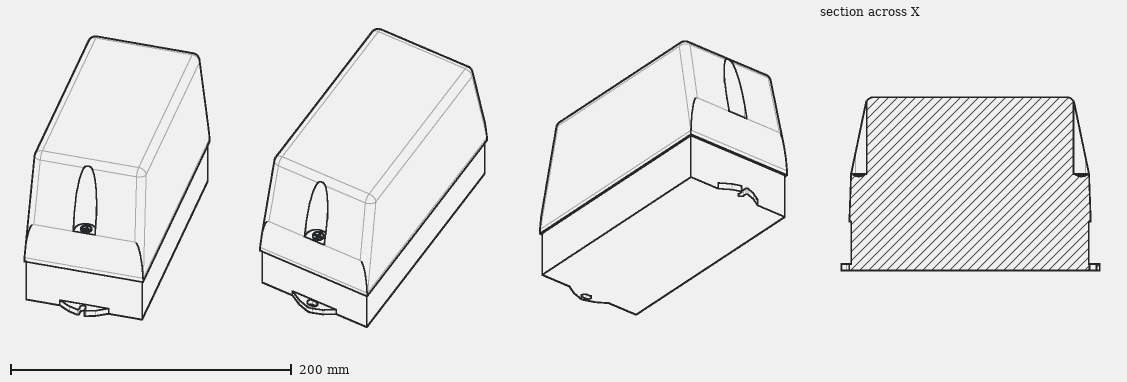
import cadquery as cq
total_height = 123.5
flange_width = 88.0
flange_length = 171.8
flange_bottom = 34.8
flange_top = 38.5

base_width = 86.0
base_length = 169.2

roof_width = 82.0
roof_length = 146.8
knee_length = 169.6
knee_height = 68.8
lid_edge_radius = 5.5

recess_radius = 8.1
recess_offset = 81.9
screw_offset = 79.3
screw_radius = 3.9
screw_head_sink = 0.5
screw_slot_depth = 1.1
screw_cross_depth = 0.7
screw_slot_width = 1.1
screw_cross_length = 5.0

tab_thickness = 4.8
tab_root_width = 36.1
tab_shoulder_width = 19.5
tab_shoulder = 89.6
tab_ridge = 93.0
tab_tip_radius = 7.7
tab_hole_offset = 87.5
tab_hole_width = 4.8
tab_hole_length = 7.7
tab_slot_width = 4.0
tab_slot_end = 86.1
tab_slot_corner_radius = 1.0


def block(width, length, bottom, top):
    """Centred box between two heights."""
    return cq.Workplane("XY").workplane(offset=bottom).rect(width, length).extrude(top - bottom)


def trapezoid_prism(plane, lower_span, upper_span, bottom, top, depth):
    """Symmetric prism with a trapezoid section in the given vertical plane."""
    section = [
        (-lower_span / 2, bottom),
        (lower_span / 2, bottom),
        (upper_span / 2, top),
        (-upper_span / 2, top),
    ]
    return cq.Workplane(plane).polyline(section).close().extrude(depth / 2, both=True)


def make_lid():
    """Rounded, tapered lid whose ends are trimmed by the steeper faces below the knee."""
    end_slope = (knee_length - roof_length) / (total_height - knee_height)
    full_length = roof_length + end_slope * (total_height - flange_top)
    side_taper = trapezoid_prism("XZ", flange_width, roof_width, flange_top, total_height, full_length)
    end_taper = trapezoid_prism("YZ", full_length, roof_length, flange_top, total_height, flange_width)
    lid = side_taper.intersect(end_taper)
    lid = lid.edges("not(<Z)").fillet(lid_edge_radius)

    trim_slope = (flange_length - knee_length) / (knee_height - flange_top)
    trim_length = flange_length - trim_slope * (total_height - flange_top)
    trim = trapezoid_prism("YZ", flange_length, trim_length, flange_top, total_height, flange_width)
    return lid.intersect(trim)


def make_recess(end):
    """Vertical U-shaped pocket running out through the end face."""
    pocket = cq.Workplane("XY").workplane(offset=knee_height)
    depth = total_height - knee_height
    round_part = pocket.center(0, end * recess_offset).circle(recess_radius).extrude(depth)
    open_part = (
        pocket.center(0, end * (recess_offset + recess_radius))
        .rect(2 * recess_radius, 2 * recess_radius).extrude(depth)
    )
    return round_part.union(open_part)


def make_screw_cut(end):
    """Sunken round screw head with a full-width slot and a shorter, shallower cross slot."""
    sink_floor = knee_height - screw_head_sink
    head = cq.Workplane("XY").workplane(offset=sink_floor).circle(screw_radius).extrude(screw_head_sink)
    slot = block(2 * screw_radius, screw_slot_width, sink_floor - screw_slot_depth, sink_floor)
    cross = block(screw_slot_width, screw_cross_length, sink_floor - screw_cross_depth, sink_floor)
    return head.union(slot).union(cross).translate((0, end * screw_offset, 0))


def make_tab(end):
    """Tab with flanks that flatten at a shoulder and meet in a ridge."""
    root = end * base_length / 2
    outline = [
        (-tab_root_width / 2, 0),
        (-tab_root_width / 2, root),
        (-tab_shoulder_width / 2, end * tab_shoulder),
        (0, end * tab_ridge),
        (tab_shoulder_width / 2, end * tab_shoulder),
        (tab_root_width / 2, root),
        (tab_root_width / 2, 0),
    ]
    return cq.Workplane("XY").polyline(outline).close().extrude(tab_thickness)


def make_hole_tab():
    """Round-tipped tab with an oblong through hole lying across it."""
    hole = (
        cq.Workplane("XY").center(0, tab_hole_offset)
        .slot2D(tab_hole_length, tab_hole_width).extrude(tab_thickness)
    )
    tab = make_tab(1).edges("|Z").edges(">Y").fillet(tab_tip_radius)
    return tab.cut(hole)


def make_slot_tab():
    """Tab with a round-ended slot open at the tip, its mouth corners rounded."""
    slot_reach = 2 * (tab_ridge - tab_slot_end)
    slot = (
        cq.Workplane("XY").center(0, -tab_ridge)
        .slot2D(slot_reach, tab_slot_width, 90).extrude(tab_thickness)
    )
    tab = make_tab(-1).cut(slot)
    return tab.edges("|Z").edges("<Y").fillet(tab_slot_corner_radius)


result = block(base_width, base_length, 0, flange_bottom)
result = result.union(block(flange_width, flange_length, flange_bottom, flange_top))
result = result.union(make_lid())

for end in (-1, 1):
    result = result.cut(make_recess(end))
    result = result.cut(make_screw_cut(end))

result = result.union(make_hole_tab()).union(make_slot_tab())